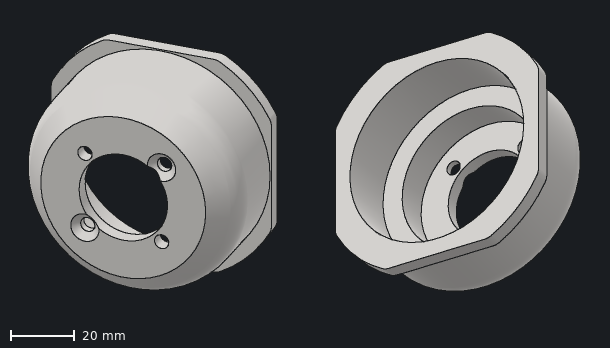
import cadquery as cq
import math

flange_side = 75.0
flange_thickness = 5.0
flange_disc_radius = 42.0
flange_corner_radius = 5.0

total_depth = 36.5
body_radius = 37.05
front_face_radius = 28.05
shoulder_radius = 10.0
cone_angle = math.radians(45)

bore_radius = 15.0
front_wall = 5.0
middle_bore_radius = 25.0
rear_pocket_radius = 32.0
rear_pocket_depth = 20.0

hole_offset = 13.05
hole_radius = 2.4
countersink_radius = 4.8
countersink_depth = countersink_radius - hole_radius


def cylinder_y(radius, start, end, x=0.0, z=0.0):
    """Solid cylinder along +Y between two Y positions."""
    return cq.Workplane(cq.Solid.makeCylinder(
        radius, end - start, cq.Vector(x, start, z), cq.Vector(0, 1, 0)))


def make_body():
    arc_center_radius = body_radius - shoulder_radius
    cone_end_radius = arc_center_radius + shoulder_radius * math.cos(cone_angle)
    cone_end_y = (cone_end_radius - front_face_radius) / math.tan(cone_angle)
    arc_center_y = cone_end_y + shoulder_radius * math.sin(cone_angle)
    arc_mid_radius = arc_center_radius + shoulder_radius * math.cos(cone_angle / 2)
    arc_mid_y = arc_center_y - shoulder_radius * math.sin(cone_angle / 2)
    return (
        cq.Workplane("XY")
        .lineTo(front_face_radius, 0)
        .lineTo(cone_end_radius, cone_end_y)
        .threePointArc((arc_mid_radius, arc_mid_y), (body_radius, arc_center_y))
        .lineTo(body_radius, total_depth)
        .lineTo(0, total_depth)
        .close()
        .revolve(360, (0, 0, 0), (0, 1, 0))
    )


def make_flange():
    flange_start = total_depth - flange_thickness
    square = cq.Workplane("XY").box(
        flange_side, flange_thickness, flange_side, centered=(True, False, True)
    ).translate((0, flange_start, 0))
    disc = cylinder_y(flange_disc_radius, flange_start, total_depth)
    return square.intersect(disc).edges("|Y").fillet(flange_corner_radius)


def cut_stepped_bore(part):
    pocket_floor = total_depth - rear_pocket_depth
    part = part.cut(cylinder_y(bore_radius, 0, total_depth))
    part = part.cut(cylinder_y(middle_bore_radius, front_wall, total_depth))
    return part.cut(cylinder_y(rear_pocket_radius, pocket_floor, total_depth))


def cut_screw_holes(part):
    for x_side in (-1, 1):
        for z_side in (-1, 1):
            x = x_side * hole_offset
            z = z_side * hole_offset
            part = part.cut(cylinder_y(hole_radius, 0, total_depth, x, z))
            if x_side == z_side:
                countersink = cq.Solid.makeCone(
                    countersink_radius, hole_radius, countersink_depth,
                    cq.Vector(x, 0, z), cq.Vector(0, 1, 0))
                part = part.cut(cq.Workplane(countersink))
    return part


body = make_body().union(make_flange())
result = cut_screw_holes(cut_stepped_bore(body))